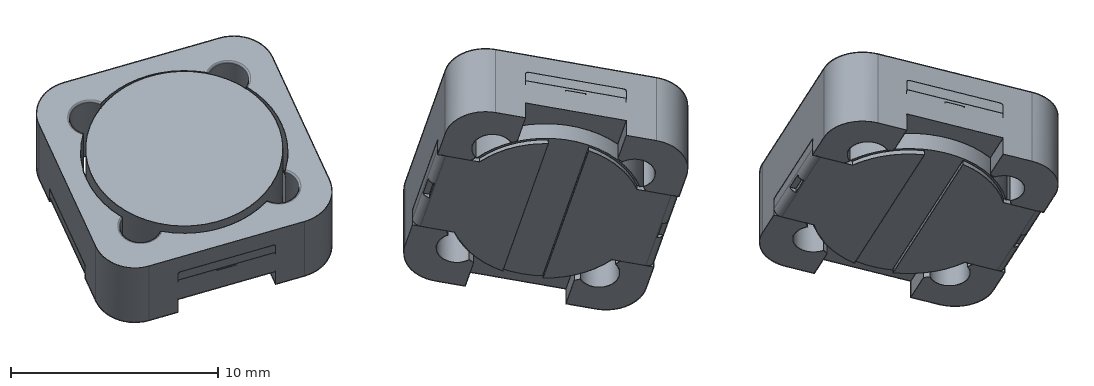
import cadquery as cq
import math


diagonal = math.sqrt(0.5)

housing_width = 12.0
housing_height = 4.25
corner_radius = 2.0
bore_radius = 10.0 / 2
vent_radius = 1.0
vent_fillet = 0.1
notch_width = 5.0
notch_height = 1.0

strip_thickness = 0.25
bend_radius = 0.4
upright_height = notch_height
upright_corner_radius = 0.15
pad_radius = 4.65
pad_gap = 2.0
slot_width = 1.0
slot_height = strip_thickness
slot_depth = 0.34
raised_terminal_base = 2.1

core_radius = 4.75
core_base = strip_thickness
core_top = 4.5


def make_terminal(angle, base_height):
    """L-shaped terminal at the -Y side, turned about Z by angle and lifted to base_height."""
    outer = -housing_width / 2
    inner = -pad_gap / 2
    bend_center = outer + bend_radius
    inner_bend_radius = bend_radius - strip_thickness

    strip = (
        cq.Workplane("YZ")
        .moveTo(inner, 0)
        .lineTo(bend_center, 0)
        .threePointArc(
            (bend_center - bend_radius * diagonal, bend_radius * (1 - diagonal)),
            (outer, bend_radius),
        )
        .lineTo(outer, upright_height)
        .lineTo(outer + strip_thickness, upright_height)
        .lineTo(outer + strip_thickness, bend_radius)
        .threePointArc(
            (bend_center - inner_bend_radius * diagonal, bend_radius - inner_bend_radius * diagonal),
            (bend_center, strip_thickness),
        )
        .lineTo(inner, strip_thickness)
        .close()
        .extrude(notch_width / 2, both=True)
    )
    strip = strip.edges("|Y and >Z").fillet(upright_corner_radius)

    beyond_gap = (
        cq.Workplane("XY")
        .box(2 * pad_radius, pad_radius, strip_thickness, centered=(True, False, False))
        .translate((0, inner - pad_radius, 0))
    )
    foot = cq.Workplane("XY").circle(pad_radius).extrude(strip_thickness).intersect(beyond_gap)

    slot = (
        cq.Workplane("XY")
        .box(slot_width, slot_depth, slot_height, centered=(True, False, False))
        .translate((0, outer, 0))
    )

    terminal = strip.union(foot).cut(slot)
    return terminal.rotate((0, 0, 0), (0, 0, 1), angle).translate((0, 0, base_height))


def make_housing(embedded_terminals):
    """Square shield with a round bore, corner holes, a notch in each side and terminal recesses."""
    block = (
        cq.Workplane("XY")
        .rect(housing_width, housing_width)
        .extrude(housing_height)
        .edges("|Z")
        .fillet(corner_radius)
    )

    vent_offset = bore_radius * diagonal
    vents = [(x, y) for x in (-vent_offset, vent_offset) for y in (-vent_offset, vent_offset)]
    block = block.cut(cq.Workplane("XY").pushPoints(vents).circle(vent_radius).extrude(housing_height))
    block = block.faces(">Z").edges("%CIRCLE").edges(cq.selectors.RadiusNthSelector(0)).fillet(vent_fillet)

    bore = cq.Workplane("XY").circle(bore_radius).extrude(housing_height)
    notch_x = cq.Workplane("XY").rect(housing_width, notch_width).extrude(notch_height)
    notch_y = cq.Workplane("XY").rect(notch_width, housing_width).extrude(notch_height)
    block = block.cut(bore).cut(notch_x).cut(notch_y)

    for terminal in embedded_terminals:
        block = block.cut(terminal)
    return block


def make_core(embedded_terminals):
    """Round core resting on the lower terminals, with recesses for the raised ones."""
    core = (
        cq.Workplane("XY")
        .workplane(offset=core_base)
        .circle(core_radius)
        .extrude(core_top - core_base)
    )
    for terminal in embedded_terminals:
        core = core.cut(terminal)
    return core


lower_terminals = [make_terminal(angle, 0) for angle in (0, 180)]
raised_terminals = [make_terminal(angle, raised_terminal_base) for angle in (90, 270)]
housing = make_housing(raised_terminals)
core = make_core(raised_terminals)

terminals = lower_terminals + raised_terminals
result = cq.Compound.makeCompound(
    [housing.val(), core.val(), *[terminal.val() for terminal in terminals]]
)